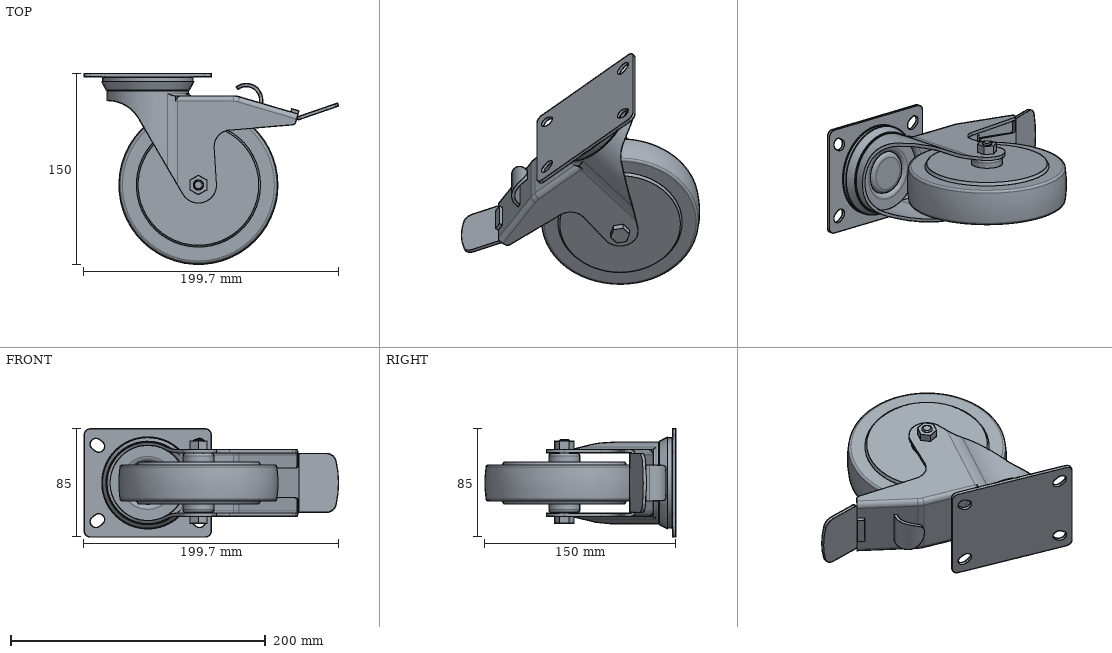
import cadquery as cq
import math


SHEET = 2.5

PLATE_LENGTH = 99.8
PLATE_WIDTH = 85.0
PLATE_CORNER = 5.0
PLATE_TOP = 87.5
PLATE_BOTTOM = PLATE_TOP - SHEET
SLOT_PITCH_X = 79.0
SLOT_PITCH_Z = 59.0
SLOT_WIDTH = 9.0
SLOT_LENGTH = 11.8

SWIVEL_X = -39.7
BEARING_RIM_RADIUS = 36.1
BEARING_WAIST_RADIUS = 35.5
BEARING_WAIST_HEIGHT = 3.2
BEARING_RIM_Y = 81.0
BEARING_BASE_RADIUS = 32.7
BEARING_BASE_Y = 74.5
NECK_RADIUS = 31.7

CUP_RADIUS = 32.1
CUP_TOP = 73.7
CUP_RIM_Y = 66.0
CUP_BLEND = 2.0
CUP_INSIDE_BLEND = 3.5
WEB_TOP = 69.9
FORK_HALF_WIDTH = 26.25
SIDE_BEND = 16.5
FOLD_RADIUS = 4.2
EYE_RADIUS = 14.2
LEADING_ANGLE = math.radians(59.7)
LEADING_CURVE = 28.0
REAR_CORNER = (11.5, 42.0)
REAR_CORNER_RADIUS = 13.0
ARM_BEND_X = 30.0
ARM_BEND_RADIUS = 18.0
ARM_SLOPE = math.radians(16.4)
ARM_SLOPE_LENGTH = 50.3
ARM_END_DEPTH = 8.8
ARM_END_RADIUS = 3.0

GROOVE_OUTER_RADIUS = 20.8
GROOVE_INNER_RADIUS = 13.0

TONGUE_HALF_WIDTH = 11.5
TONGUE_LENGTH = 29.4
PEDAL_ANGLE = math.radians(19.0)
PEDAL_HALF_WIDTH = 23.2
PEDAL_LENGTH = 34.0
PEDAL_SHOULDER = 0.4
PEDAL_TIP_RADIUS = 69.9
PEDAL_CORNER = 8.0
SHOULDER_RADIUS = 2.0
STOP_LENGTH = 6.0
HOOK_X = 37.5
HOOK_Y = 66.7
HOOK_RADIUS = 13.0
HOOK_SWEEP = math.radians(128.0)
HOOK_HALF_WIDTH = 14.0
HOOK_TIP_LENGTH = 18.4

BOLT_RADIUS = 4.0
NUT_ACROSS_FLATS = 13.2
NUT_HEIGHT = 6.5
HEAD_HEIGHT = 5.4
BOLT_END = 34.1
BOLT_CHAMFER = 1.0

WHEEL_RADIUS = 62.5
TREAD_EDGE_RADIUS = 61.3
TREAD_HALF_WIDTH = 14.2
TREAD_FILLET = 2.0
DISC_RADIUS = 48.7
DISC_HALF_WIDTH = 16.5
DISC_FACE_RADIUS = 47.3
HUB_RADIUS = 12.2
HUB_HALF_WIDTH = 23.4
HUB_FILLET = 2.4

ACROSS_Z = cq.Workplane("XY")
PLAN = cq.Plane(origin=(0, 0, 0), xDir=(1, 0, 0), normal=(0, 1, 0))


def plan_at(y):
    return cq.Workplane(PLAN).workplane(offset=y)


def swivel_cylinder(radius, bottom, top):
    return plan_at(bottom).center(SWIVEL_X, 0).circle(radius).extrude(top - bottom)


def rounded_corner(before, corner, after, radius):
    """Start, middle and end of the arc that rounds a corner between two other points."""
    a, c, b = cq.Vector(*before), cq.Vector(*corner), cq.Vector(*after)
    to_a = (a - c).normalized()
    to_b = (b - c).normalized()
    half = to_a.getAngle(to_b) / 2
    start = c + to_a * (radius / math.tan(half))
    end = c + to_b * (radius / math.tan(half))
    middle = c + (to_a + to_b).normalized() * (radius / math.sin(half) - radius)
    return [(p.x, p.y) for p in (start, middle, end)]


SLOPE_DIR = (math.cos(ARM_SLOPE), -math.sin(ARM_SLOPE))
SLOPE_NORMAL = (math.sin(ARM_SLOPE), math.cos(ARM_SLOPE))
ARM_END = (
    ARM_BEND_X + ARM_SLOPE_LENGTH * SLOPE_DIR[0],
    WEB_TOP + ARM_SLOPE_LENGTH * SLOPE_DIR[1],
)


def on_arm(along, depth):
    """Point at a distance past the arm's end and a depth below the web's outer face."""
    return (
        ARM_END[0] + along * SLOPE_DIR[0] - depth * SLOPE_NORMAL[0],
        ARM_END[1] + along * SLOPE_DIR[1] - depth * SLOPE_NORMAL[1],
    )


def mounting_plate():
    plate = (
        plan_at(PLATE_BOTTOM)
        .center(SWIVEL_X, 0)
        .rect(PLATE_LENGTH, PLATE_WIDTH)
        .extrude(SHEET)
        .edges("|Y")
        .fillet(PLATE_CORNER)
    )
    slot_angle = math.degrees(math.atan2(SLOT_PITCH_Z, SLOT_PITCH_X))
    for side_x in (-1, 1):
        for side_z in (-1, 1):
            slot = (
                plan_at(PLATE_BOTTOM)
                .center(SWIVEL_X + side_x * SLOT_PITCH_X / 2, side_z * SLOT_PITCH_Z / 2)
                .slot2D(SLOT_LENGTH, SLOT_WIDTH, side_x * side_z * slot_angle)
                .extrude(SHEET)
            )
            plate = plate.cut(slot)
    return plate


def swivel_bearing():
    waist_top = BEARING_RIM_Y + BEARING_WAIST_HEIGHT
    profile = [
        (0, PLATE_BOTTOM),
        (BEARING_RIM_RADIUS, PLATE_BOTTOM),
        (BEARING_WAIST_RADIUS, waist_top),
        (BEARING_WAIST_RADIUS, BEARING_RIM_Y),
        (BEARING_RIM_RADIUS, BEARING_RIM_Y),
        (BEARING_BASE_RADIUS, BEARING_BASE_Y),
        (NECK_RADIUS, BEARING_BASE_Y),
        (NECK_RADIUS, CUP_TOP),
        (0, CUP_TOP),
    ]
    return about_swivel(cq.Workplane("XY").polyline(profile).close())


def about_swivel(profile):
    return profile.revolve(360, (0, 0, 0), (0, 1, 0)).translate((SWIVEL_X, 0, 0))


def fork_plan(inset, length):
    """Plan outline of the fork: a round back bent smoothly into two parallel sides."""
    radius = CUP_RADIUS - inset
    bend = SIDE_BEND + inset
    half_width = FORK_HALF_WIDTH - inset
    bend_z = half_width + bend
    bend_dx = math.sqrt((radius + bend) ** 2 - bend_z ** 2)
    bend_x = SWIVEL_X + bend_dx
    tangent_angle = math.atan2(bend_z, bend_dx)
    tangent = (
        SWIVEL_X + radius * math.cos(tangent_angle),
        radius * math.sin(tangent_angle),
    )
    bend_middle_angle = (tangent_angle + math.pi / 2) / 2
    middle = (
        bend_x - bend * math.cos(bend_middle_angle),
        bend_z - bend * math.sin(bend_middle_angle),
    )
    return (
        plan_at(-EYE_RADIUS)
        .moveTo(length, half_width)
        .lineTo(bend_x, half_width)
        .threePointArc(middle, tangent)
        .threePointArc((SWIVEL_X - radius, 0), (tangent[0], -tangent[1]))
        .threePointArc((middle[0], -middle[1]), (bend_x, -half_width))
        .lineTo(length, -half_width)
        .close()
    )


def under_web(inset):
    """Prism below the bent web surface, lowered by an inset and long enough to clear the arm."""
    bend_shift = inset * math.tan(ARM_SLOPE / 2)
    corner = (ARM_BEND_X - bend_shift, WEB_TOP - inset)
    back = (SWIVEL_X - 2 * CUP_RADIUS, WEB_TOP - inset)
    far = on_arm(ARM_SLOPE_LENGTH, inset)
    start, middle, end = rounded_corner(back, corner, far, ARM_BEND_RADIUS - inset)
    return (
        ACROSS_Z.moveTo(*back)
        .lineTo(*start)
        .threePointArc(middle, end)
        .lineTo(*far)
        .lineTo(far[0], -2 * EYE_RADIUS)
        .lineTo(back[0], -2 * EYE_RADIUS)
        .close()
        .extrude(2 * CUP_RADIUS, both=True)
    )


def channel(inset):
    """Solid block with the fork's plan, its web surface and its folded edges."""
    length = on_arm(ARM_SLOPE_LENGTH, 0)[0]
    block = fork_plan(inset, length).extrude(CUP_TOP + EYE_RADIUS).intersect(under_web(inset))
    edge_z = FORK_HALF_WIDTH - inset
    level = WEB_TOP - inset
    fold = block.edges(cq.selectors.NearestToPointSelector((0, level, edge_z)))
    return fold.fillet(FOLD_RADIUS - inset)


def fork_side_shape():
    """Side view of the fork as a prism: cup rim, leading edge, axle eye, rear edge and arm."""
    normal = (-math.sin(LEADING_ANGLE), -math.cos(LEADING_ANGLE))
    curve_y = CUP_RIM_Y - LEADING_CURVE
    curve_x = (EYE_RADIUS + LEADING_CURVE - normal[1] * curve_y) / normal[0]
    half_turn = LEADING_ANGLE / 2
    curve_middle = (
        curve_x + LEADING_CURVE * math.sin(half_turn),
        curve_y + LEADING_CURVE * math.cos(half_turn),
    )
    curve_end = (curve_x - LEADING_CURVE * normal[0], curve_y - LEADING_CURVE * normal[1])
    eye_start = (EYE_RADIUS * normal[0], EYE_RADIUS * normal[1])
    arm_corner = on_arm(0, ARM_END_DEPTH)
    rear = rounded_corner((EYE_RADIUS, 0), REAR_CORNER, arm_corner, REAR_CORNER_RADIUS)
    tip = rounded_corner(REAR_CORNER, arm_corner, ARM_END, ARM_END_RADIUS)
    above = CUP_TOP + 2
    back = SWIVEL_X - CUP_RADIUS
    return (
        ACROSS_Z.moveTo(back, above)
        .lineTo(back, CUP_RIM_Y)
        .lineTo(curve_x, CUP_RIM_Y)
        .threePointArc(curve_middle, curve_end)
        .lineTo(*eye_start)
        .threePointArc((0, -EYE_RADIUS), (EYE_RADIUS, 0))
        .lineTo(*rear[0])
        .threePointArc(rear[1], rear[2])
        .lineTo(*tip[0])
        .threePointArc(tip[1], tip[2])
        .lineTo(*ARM_END)
        .lineTo(*on_arm(0, ARM_END[1] - above))
        .close()
        .extrude(2 * CUP_RADIUS, both=True)
    )


def cup_flare(inset, blend):
    """Disc on the web whose rim sweeps down from the cup wall, kept within the fork's plan."""
    radius = CUP_RADIUS - inset
    level = WEB_TOP - inset
    base = level - FOLD_RADIUS
    diagonal = blend * (1 - math.sqrt(0.5))
    profile = (
        cq.Workplane("XY")
        .moveTo(0, base)
        .lineTo(radius + blend, base)
        .lineTo(radius + blend, level)
        .threePointArc((radius + diagonal, level + diagonal), (radius, level + blend))
        .lineTo(0, level + blend)
        .close()
    )
    length = SWIVEL_X + 2 * CUP_RADIUS
    return about_swivel(profile).intersect(fork_plan(inset, length).extrude(CUP_TOP + EYE_RADIUS))


def fork_mass(inset, blend):
    """Solid fork body with the cup standing on its web; insets give the space inside the sheet."""
    cup = swivel_cylinder(CUP_RADIUS - inset, -EYE_RADIUS, CUP_TOP - inset)
    return channel(inset).union(cup).union(cup_flare(inset, blend))


def fork():
    sheet = fork_mass(0, CUP_BLEND).cut(fork_mass(SHEET, CUP_INSIDE_BLEND))
    return sheet.intersect(fork_side_shape())


def ball_groove():
    """Ring groove between two rounded shoulders that meet at its bottom."""
    floor = CUP_TOP - SHEET
    depth = (GROOVE_OUTER_RADIUS - GROOVE_INNER_RADIUS) / 2
    middle = GROOVE_INNER_RADIUS + depth
    diagonal = depth * math.sqrt(0.5)
    arc_y = floor + depth
    profile = (
        cq.Workplane("XY")
        .moveTo(GROOVE_INNER_RADIUS, floor)
        .threePointArc((GROOVE_INNER_RADIUS + diagonal, arc_y - diagonal), (middle, arc_y))
        .threePointArc((GROOVE_OUTER_RADIUS - diagonal, arc_y - diagonal), (GROOVE_OUTER_RADIUS, floor))
        .close()
    )
    return about_swivel(profile)


PEDAL_DIR = (math.cos(PEDAL_ANGLE), math.sin(PEDAL_ANGLE))
PEDAL_NORMAL = (-math.sin(PEDAL_ANGLE), math.cos(PEDAL_ANGLE))
LEVER_BEND = on_arm(-0.4, SHEET)


def on_pedal(along, depth):
    return (
        LEVER_BEND[0] + along * PEDAL_DIR[0] - depth * PEDAL_NORMAL[0],
        LEVER_BEND[1] + along * PEDAL_DIR[1] - depth * PEDAL_NORMAL[1],
    )


def lever_plate():
    """Tongue under the web, bent upward into the wider pedal."""
    bend_shift = SHEET * math.tan((ARM_SLOPE + PEDAL_ANGLE) / 2)
    lower_bend = on_pedal(bend_shift, SHEET)
    tongue_top = on_arm(-TONGUE_LENGTH, SHEET)
    tongue_bottom = on_arm(-TONGUE_LENGTH, 2 * SHEET)
    strip = (
        ACROSS_Z.polyline([
            tongue_top,
            tongue_bottom,
            lower_bend,
            on_pedal(PEDAL_LENGTH, SHEET),
            on_pedal(PEDAL_LENGTH, 0),
            LEVER_BEND,
        ])
        .close()
        .extrude(PEDAL_HALF_WIDTH, both=True)
    )
    return strip.intersect(lever_outline())


def lever_outline():
    """Prism square to the pedal: narrow tongue, rounded shoulders and curved pedal tip."""
    tip_curve = plan_at(0).center(PEDAL_LENGTH - PEDAL_TIP_RADIUS, 0).circle(PEDAL_TIP_RADIUS)
    outline = (
        plan_at(0)
        .rect(2 * PEDAL_LENGTH, 2 * PEDAL_HALF_WIDTH)
        .extrude(PEDAL_LENGTH, both=True)
        .intersect(tip_curve.extrude(PEDAL_LENGTH, both=True))
        .edges("|Y")
        .edges(">X")
        .fillet(PEDAL_CORNER)
    )
    notch_width = PEDAL_HALF_WIDTH - TONGUE_HALF_WIDTH
    for side in (-1, 1):
        notch = (
            plan_at(0)
            .center(PEDAL_SHOULDER - PEDAL_LENGTH, side * (TONGUE_HALF_WIDTH + notch_width))
            .rect(2 * PEDAL_LENGTH, 2 * notch_width)
            .extrude(PEDAL_LENGTH, both=True)
            .edges("|Y")
            .fillet(SHOULDER_RADIUS)
        )
        outline = outline.cut(notch)
        shoulder = (PEDAL_SHOULDER, 0, -side * PEDAL_HALF_WIDTH)
        outline = outline.edges(cq.selectors.NearestToPointSelector(shoulder)).fillet(SHOULDER_RADIUS)
    turned = outline.rotate((0, 0, 0), (0, 0, 1), math.degrees(PEDAL_ANGLE))
    return turned.translate((*LEVER_BEND, 0))


def lever_stop():
    return (
        ACROSS_Z.polyline([
            on_arm(-STOP_LENGTH, 0),
            on_arm(0, 0),
            on_arm(0, -SHEET),
            on_arm(-STOP_LENGTH, -SHEET),
        ])
        .close()
        .extrude(TONGUE_HALF_WIDTH, both=True)
    )


def lever_hook():
    """Curled strip that rises from the web and narrows toward its tip."""
    inner = HOOK_RADIUS - SHEET
    foot_y = HOOK_Y - 2 * SHEET

    def on_arc(radius, angle):
        return (HOOK_X + radius * math.cos(angle), HOOK_Y + radius * math.sin(angle))

    strip = (
        ACROSS_Z.moveTo(HOOK_X + HOOK_RADIUS, foot_y)
        .lineTo(*on_arc(HOOK_RADIUS, 0))
        .threePointArc(on_arc(HOOK_RADIUS, HOOK_SWEEP / 2), on_arc(HOOK_RADIUS, HOOK_SWEEP))
        .lineTo(*on_arc(inner, HOOK_SWEEP))
        .threePointArc(on_arc(inner, HOOK_SWEEP / 2), on_arc(inner, 0))
        .lineTo(HOOK_X + inner, foot_y)
        .close()
        .extrude(HOOK_HALF_WIDTH, both=True)
    )
    narrowing_x = on_arc(HOOK_RADIUS, HOOK_SWEEP)[0] + HOOK_TIP_LENGTH
    outline = (
        plan_at(0)
        .center(narrowing_x, 0)
        .ellipse(HOOK_TIP_LENGTH, HOOK_HALF_WIDTH)
        .extrude(PLATE_TOP)
    )
    straight = (
        plan_at(0)
        .center(narrowing_x + HOOK_TIP_LENGTH / 2, 0)
        .rect(HOOK_TIP_LENGTH, 2 * HOOK_HALF_WIDTH)
        .extrude(PLATE_TOP)
    )
    return strip.intersect(outline.union(straight))


def hexagon(height):
    across_corners = NUT_ACROSS_FLATS / math.cos(math.pi / 6)
    return cq.Workplane("XY").polygon(6, across_corners).extrude(height).rotate((0, 0, 0), (0, 0, 1), 30)


def bolt():
    shank = (
        cq.Workplane("XY")
        .workplane(offset=-FORK_HALF_WIDTH)
        .circle(BOLT_RADIUS)
        .extrude(FORK_HALF_WIDTH + BOLT_END)
        .faces(">Z")
        .chamfer(BOLT_CHAMFER)
    )
    nut = hexagon(NUT_HEIGHT).translate((0, 0, FORK_HALF_WIDTH))
    head = hexagon(HEAD_HEIGHT).translate((0, 0, -FORK_HALF_WIDTH - HEAD_HEIGHT))
    return shank.union(nut).union(head)


def frame():
    body = mounting_plate().union(swivel_bearing()).union(fork()).cut(ball_groove())
    for part in (lever_plate(), lever_stop(), lever_hook(), bolt()):
        body = body.union(part)
    return body


def wheel():
    crown = (
        cq.Workplane("XZ")
        .moveTo(0, -TREAD_HALF_WIDTH)
        .lineTo(TREAD_EDGE_RADIUS, -TREAD_HALF_WIDTH)
        .threePointArc((WHEEL_RADIUS, 0), (TREAD_EDGE_RADIUS, TREAD_HALF_WIDTH))
        .lineTo(0, TREAD_HALF_WIDTH)
        .close()
        .revolve(360, (0, 0, 0), (0, 1, 0))
    )
    tread = crown.faces("|Z").edges().fillet(TREAD_FILLET)
    disc = (
        cq.Workplane("XZ")
        .polyline([
            (0, -DISC_HALF_WIDTH),
            (DISC_FACE_RADIUS, -DISC_HALF_WIDTH),
            (DISC_RADIUS, -TREAD_HALF_WIDTH),
            (DISC_RADIUS, TREAD_HALF_WIDTH),
            (DISC_FACE_RADIUS, DISC_HALF_WIDTH),
            (0, DISC_HALF_WIDTH),
        ])
        .close()
        .revolve(360, (0, 0, 0), (0, 1, 0))
    )
    hub = cq.Workplane("XY").circle(HUB_RADIUS).extrude(HUB_HALF_WIDTH, both=True)
    hub = hub.faces("|Z").edges().fillet(HUB_FILLET)
    bore = cq.Workplane("XY").circle(BOLT_RADIUS).extrude(2 * HUB_HALF_WIDTH, both=True)
    return tread.union(disc).union(hub).cut(bore)


result = cq.Compound.makeCompound([frame().val(), wheel().val()])